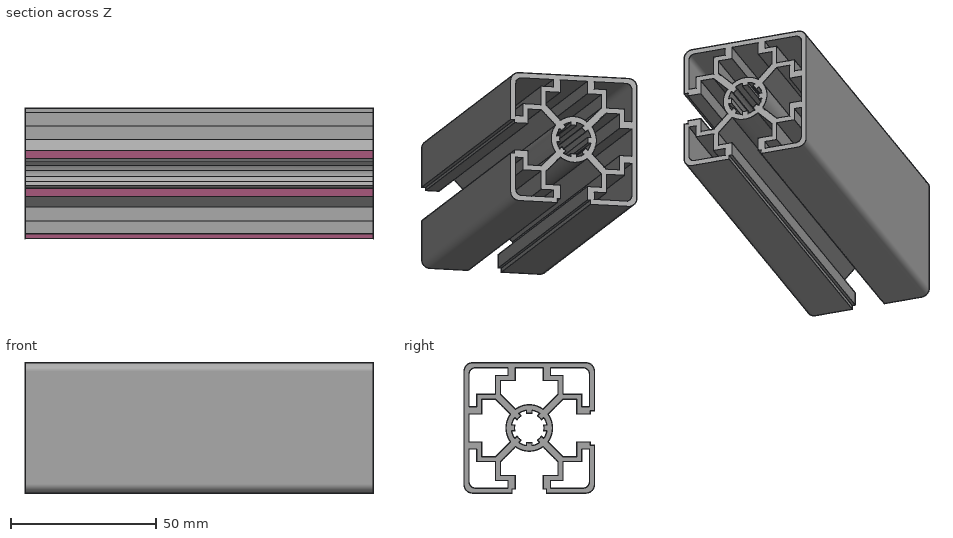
import cadquery as cq
import math

length = 120.1
side = 45.0
wall = 1.8
corner_radius = 3.0
cavity_corner_radius = 2.2

mouth_half_width = 4.8
mouth_step_half_width = 5.9
mouth_step_depth = 1.5
slot_half_width = 9.8
lip_inner_face = 16.3
lip_thickness = 2.5
spoke_thickness = 2.5

core_radius = 8.0
core_wall = 1.9
bore_radius = core_radius - core_wall
tooth_tip_radius = 5.0
tooth_width = 2.0
tooth_count = 8

half_side = side / 2
inner_half_side = half_side - wall
mouth_step_floor = half_side - mouth_step_depth
spoke_offset = spoke_thickness / math.sqrt(2)
cavity_end = mouth_half_width + lip_thickness
cavity_floor = slot_half_width + wall
lip_outer_face = lip_inner_face + wall

profile_plane = cq.Workplane("YZ", origin=(-length / 2, 0, 0))


def prism(points):
    return profile_plane.polyline(points).close().extrude(length)


def turned(body, degrees):
    return body.rotate((0, 0, 0), (1, 0, 0), degrees)


def corner_cavity():
    """Hollow behind the +Y +Z corner, running beside both neighbouring slots."""
    cavity = prism([
        (cavity_end, inner_half_side),
        (inner_half_side, inner_half_side),
        (inner_half_side, cavity_end),
        (lip_outer_face, cavity_end),
        (lip_outer_face, cavity_floor),
        (cavity_floor, cavity_floor),
        (cavity_floor, lip_outer_face),
        (cavity_end, lip_outer_face),
    ])
    corner_edge = cq.selectors.NearestToPointSelector((0, inner_half_side, inner_half_side))
    return cavity.edges("|X").edges(corner_edge).fillet(cavity_corner_radius)


def slot(reach):
    """T-slot on the +Z side, its neck going out as far as reach."""
    right_half = [
        (0, spoke_offset),
        (slot_half_width, slot_half_width + spoke_offset),
        (slot_half_width, lip_inner_face),
        (mouth_half_width, lip_inner_face),
        (mouth_half_width, reach),
    ]
    left_half = [(-y, z) for y, z in reversed(right_half[1:])]
    return prism(right_half + left_half)


def mouth_step():
    """Shallow step that widens the slot's opening at the +Z outer face."""
    return prism([
        (-mouth_step_half_width, mouth_step_floor),
        (mouth_step_half_width, mouth_step_floor),
        (mouth_step_half_width, half_side),
        (-mouth_step_half_width, half_side),
    ])


def core():
    """Round tube along the centre with teeth whose tips lie on a common circle."""
    tube = profile_plane.circle(core_radius).circle(bore_radius).extrude(length)
    bar_length = bore_radius + core_radius
    for i in range(tooth_count // 2):
        bar = profile_plane.rect(tooth_width, bar_length).extrude(length)
        tube = tube.union(turned(bar, i * 360 / tooth_count))
    return tube.cut(profile_plane.circle(tooth_tip_radius).extrude(length))


body = profile_plane.rect(side, side).extrude(length).edges("|X").fillet(corner_radius)
for angle in (0, 90, 180, 270):
    body = body.cut(turned(corner_cavity(), angle))

for angle in (0, 90):
    body = body.cut(turned(slot(inner_half_side), angle))

for angle in (180, 270):
    body = body.cut(turned(slot(half_side), angle))
    body = body.cut(turned(mouth_step(), angle))

body = body.cut(profile_plane.circle(core_radius).extrude(length))
result = body.union(core())